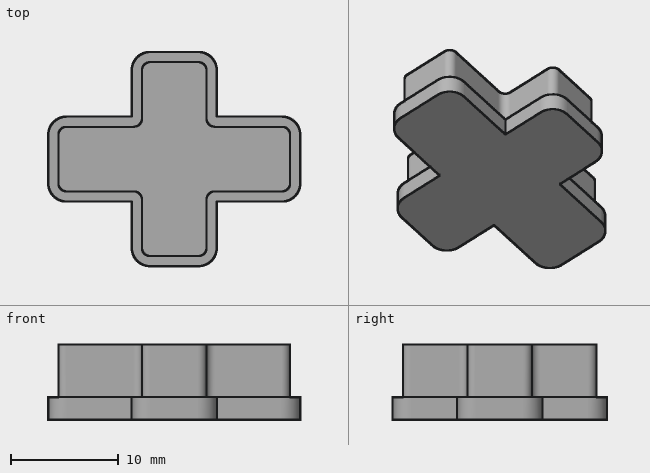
import cadquery as cq

length_x = 23.4
length_y = 19.9
total_height = 7.0
flange_height = 2.1
arm_width = 7.9
flange_corner_radius = 1.73

inset = 0.95
key_corner_radius = 0.75


def cross(size_x, size_y, width, height, corner_radius):
    """Extruded plus shape with rounded arm ends and sharp inner corners."""
    arm_x = cq.Workplane("XY").rect(size_x, width).extrude(height)
    arm_y = cq.Workplane("XY").rect(width, size_y).extrude(height)
    arm_x = arm_x.edges("|Z").fillet(corner_radius)
    arm_y = arm_y.edges("|Z").fillet(corner_radius)
    return arm_x.union(arm_y)


flange = cross(length_x, length_y, arm_width, flange_height, flange_corner_radius)

key_width = arm_width - 2 * inset
key = cross(
    length_x - 2 * inset,
    length_y - 2 * inset,
    key_width,
    total_height,
    key_corner_radius,
)
inner_corner_zone = cq.selectors.BoxSelector(
    (-key_width, -key_width, 0),
    (key_width, key_width, total_height),
)
key = key.edges("|Z").edges(inner_corner_zone).fillet(key_corner_radius)

result = flange.union(key)